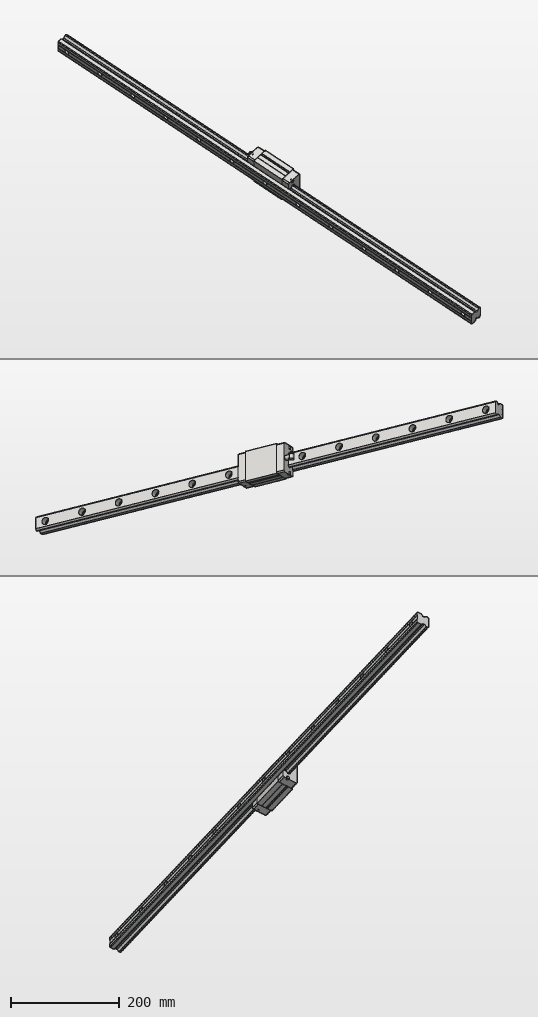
import cadquery as cq


rail_length = 1002.0
guide_height = 42.0
base_y = -guide_height / 2
top_y = guide_height / 2
running_gap = 0.5

rail_width = 28.0
rail_height = 26.0
rail_neck_width = 20.0
rail_top_chamfer = 3.0
rail_bottom_chamfer = 1.7
lower_flank_bottom = 9.3
neck_bottom = lower_flank_bottom + (rail_width - rail_neck_width) / 2
neck_top = 16.35
upper_flank_top = neck_top + (rail_width - rail_neck_width) / 2
relief_width = 9.8
relief_depth = 0.5

hole_count = 13
hole_pitch = 80.0
hole_diameter = 9.0
counterbore_diameter = 14.0
counterbore_depth = 12.0

carriage_width = 60.0
carriage_bottom_y = base_y + 9.0
block_length = 68.0
carriage_length = 100.0
cap_length = (carriage_length - block_length) / 2
cap_inset = 0.4
cap_chamfer = 2.6

side_groove_width = 3.0
side_groove_depth = 1.0
side_groove_y = top_y - 11.8
side_step_depth = 0.5
side_step_y = top_y - 22.5

cap_hole_diameter = 6.0
cap_hole_depth = 4.0
cap_hole_spacing = 51.0
cap_hole_y = top_y - 21.0

elbow_diameter = 10.0
elbow_radius = elbow_diameter / 2
elbow_y = top_y - 8.0
elbow_riser_x = -61.5
nipple_base_diameter = 6.65
nipple_neck_diameter = 4.92
nipple_head_diameter = 6.0
nipple_tip_diameter = 2.46
nipple_bore_diameter = 2.0
nipple_bore_depth = 4.0
nipple_base_height = 1.5
nipple_neck_height = 1.0
nipple_head_height = 1.0
nipple_cone_height = 2.0


def rail_outline():
    """Rail cross-section as (z, y) points, symmetric about z = 0."""
    half_width = rail_width / 2
    half_neck = rail_neck_width / 2
    half_side = [
        (half_width - rail_bottom_chamfer, 0),
        (half_width, rail_bottom_chamfer),
        (half_width, lower_flank_bottom),
        (half_neck, neck_bottom),
        (half_neck, neck_top),
        (half_width, upper_flank_top),
        (half_width, rail_height - rail_top_chamfer),
        (half_width - rail_top_chamfer, rail_height),
    ]
    right = [(z, base_y + height) for z, height in half_side]
    left = [(-z, y) for z, y in reversed(right)]
    return right + left


def section_plane(x):
    """Plane across the rail at x: its first direction is +Z, its second +Y, extruding towards -X."""
    return cq.Workplane(cq.Plane(origin=(x, 0, 0), xDir=(0, 0, 1), normal=(-1, 0, 0)))


def make_rail():
    rail = section_plane(rail_length / 2).polyline(rail_outline()).close().extrude(rail_length)
    relief = cq.Workplane().box(rail_length, 2 * relief_depth, relief_width)
    rail = rail.cut(relief.translate((0, base_y, 0)))
    mounting_holes = (
        cq.Workplane("XZ", origin=(0, base_y + rail_height, 0))
        .rarray(hole_pitch, 1, hole_count, 1)
    )
    shanks = mounting_holes.circle(hole_diameter / 2).extrude(rail_height)
    counterbores = mounting_holes.circle(counterbore_diameter / 2).extrude(counterbore_depth)
    return rail.cut(shanks).cut(counterbores)


def carriage_blank(length, inset=0):
    """Box of the carriage section, set in on its four sides and centred on x = 0."""
    height = top_y - carriage_bottom_y
    blank = cq.Workplane().box(length, height - 2 * inset, carriage_width - 2 * inset)
    return blank.translate((0, (top_y + carriage_bottom_y) / 2, 0))


def rail_clearance(length):
    """Rail section grown by the running gap, centred on x = 0."""
    return section_plane(length / 2).polyline(rail_outline()).close().offset2D(running_gap).extrude(length)


def make_block():
    block = carriage_blank(block_length).cut(rail_clearance(block_length))
    step_height = side_step_y - carriage_bottom_y
    for side in (-1, 1):
        side_z = side * carriage_width / 2
        groove = cq.Workplane().box(block_length, side_groove_width, 2 * side_groove_depth)
        step = cq.Workplane().box(block_length, step_height, 2 * side_step_depth)
        block = block.cut(groove.translate((0, side_groove_y, side_z)))
        block = block.cut(step.translate((0, carriage_bottom_y + step_height / 2, side_z)))
    return block


def make_cap(end):
    """End cap at the -X end (end = -1) or the +X end (end = 1) of the block."""
    cap = carriage_blank(cap_length, cap_inset).edges("|X").chamfer(cap_chamfer)
    cap = cap.cut(rail_clearance(cap_length))
    cap = cap.translate((end * (block_length + cap_length) / 2, 0, 0))
    screw_holes = (
        cq.Workplane("YZ", origin=(end * carriage_length / 2, cap_hole_y, 0))
        .rarray(1, cap_hole_spacing, 1, 2)
        .circle(cap_hole_diameter / 2)
        .extrude(-end * cap_hole_depth)
    )
    return cap.cut(screw_holes)


def make_elbow():
    """Horizontal stem out of the -X cap, turning into a riser with a nipple that points to +Z."""
    stem_length = -carriage_length / 2 - elbow_riser_x
    stem = (
        cq.Workplane("YZ", origin=(elbow_riser_x, elbow_y, 0))
        .circle(elbow_radius)
        .extrude(stem_length)
    )
    neck_start = elbow_radius + nipple_base_height
    head_start = neck_start + nipple_neck_height
    cone_start = head_start + nipple_head_height
    tip = cone_start + nipple_cone_height
    riser = (
        cq.Workplane("XZ")
        .moveTo(0, -elbow_radius)
        .lineTo(elbow_radius, -elbow_radius)
        .lineTo(elbow_radius, elbow_radius)
        .lineTo(nipple_base_diameter / 2, elbow_radius)
        .lineTo(nipple_base_diameter / 2, neck_start)
        .lineTo(nipple_neck_diameter / 2, neck_start)
        .lineTo(nipple_neck_diameter / 2, head_start)
        .lineTo(nipple_head_diameter / 2, head_start)
        .lineTo(nipple_head_diameter / 2, cone_start)
        .lineTo(nipple_tip_diameter / 2, tip)
        .lineTo(nipple_bore_diameter / 2, tip)
        .lineTo(nipple_bore_diameter / 2, tip - nipple_bore_depth)
        .lineTo(0, tip - nipple_bore_depth)
        .close()
        .revolve(360, (0, 0, 0), (0, 1, 0))
        .translate((elbow_riser_x, elbow_y, 0))
    )
    return stem.union(riser)


rail = make_rail()
block = make_block()
caps = [make_cap(end) for end in (-1, 1)]
elbow = make_elbow()

result = cq.Compound.makeCompound(
    [rail.val(), block.val(), *[cap.val() for cap in caps], elbow.val()]
)